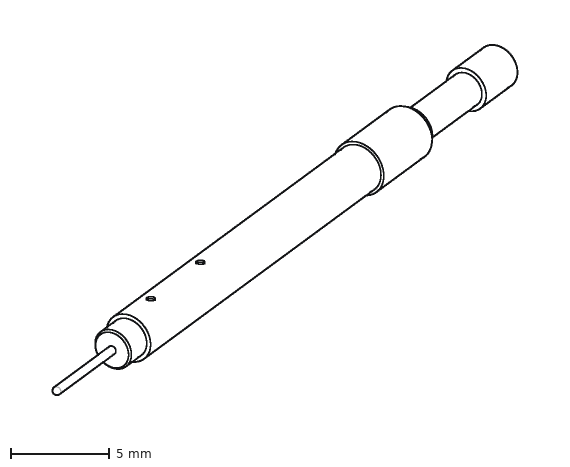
import cadquery as cq

total_length = 42.3
head_length = 3.0
neck_length = 5.25
collar_length = 5.0
sleeve_length = 22.0
tail_length = 1.55
pin_length = total_length - (head_length + neck_length + collar_length + sleeve_length + tail_length)

head_diameter = 2.4
neck_diameter = 1.9
collar_diameter = 3.0
sleeve_diameter = 2.65
tail_diameter = 2.2
pin_diameter = 0.45

collar_chamfer_length = 0.4
collar_chamfer_height = 0.2
tail_chamfer = 0.105

dimple_diameter = 0.45
dimple_depth = 0.13
first_dimple_y = 9.2
dimple_spacing = 4.75
dimple_count = 2

tail_start = pin_length
sleeve_start = tail_start + tail_length
collar_start = sleeve_start + sleeve_length
neck_start = collar_start + collar_length
head_start = neck_start + neck_length


def cylinder_along_y(diameter, start, length):
    """Solid round bar on the Y axis from start to start + length."""
    bar = cq.Workplane("XZ", origin=(0, start, 0)).circle(diameter / 2)
    return bar.extrude(-length)


def make_pin():
    """Thin pin ending in a hemisphere."""
    tip_radius = pin_diameter / 2
    shaft = cylinder_along_y(pin_diameter, tip_radius, pin_length - tip_radius)
    tip = cq.Workplane("XY", origin=(0, tip_radius, 0)).sphere(tip_radius)
    return shaft.union(tip)


def make_tail():
    tail = cylinder_along_y(tail_diameter, tail_start, tail_length)
    return tail.faces("<Y").chamfer(tail_chamfer)


def make_collar():
    """Collar tapered slightly on the side facing the neck."""
    radius = collar_diameter / 2
    profile = (
        cq.Workplane("XY")
        .moveTo(0, collar_start)
        .lineTo(radius, collar_start)
        .lineTo(radius, neck_start - collar_chamfer_length)
        .lineTo(radius - collar_chamfer_height, neck_start)
        .lineTo(0, neck_start)
        .close()
    )
    return profile.revolve(360, (0, 0, 0), (0, 1, 0))


def make_sleeve():
    sleeve = cylinder_along_y(sleeve_diameter, sleeve_start, sleeve_length)
    dimple_floor = sleeve_diameter / 2 - dimple_depth
    for index in range(dimple_count):
        dimple_y = first_dimple_y + index * dimple_spacing
        dimple = cq.Workplane("XY", origin=(0, dimple_y, dimple_floor)).circle(dimple_diameter / 2)
        sleeve = sleeve.cut(dimple.extrude(sleeve_diameter))
    return sleeve


result = (
    make_sleeve()
    .union(make_collar())
    .union(cylinder_along_y(neck_diameter, neck_start, neck_length))
    .union(cylinder_along_y(head_diameter, head_start, head_length))
    .union(make_tail())
    .union(make_pin())
)